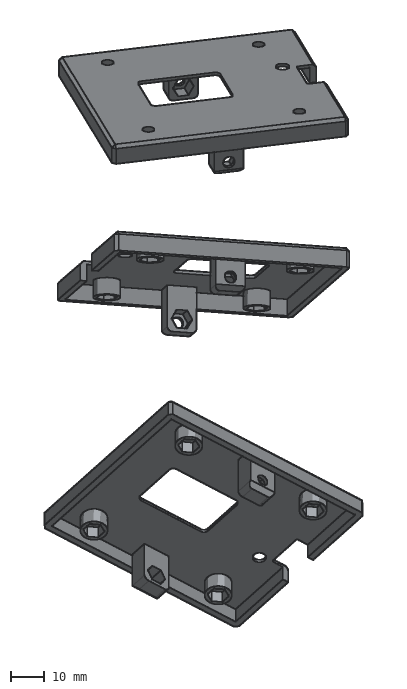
import cadquery as cq
import math

LENGTH_X = 62.0
LENGTH_Y = 72.0
COVER_HEIGHT = 6.0
TOTAL_HEIGHT = 15.0
WALL = 2.0
TOP_THICKNESS = 1.0
EDGE_CHAMFER = 1.0

NOTCH_WIDTH = 12.0
NOTCH_DEPTH = 6.0
NOTCH_RADIUS = 0.5

WINDOW_X = 17.0
WINDOW_Y = 25.0
WINDOW_CENTER_Y = -5.5
WINDOW_RADIUS = 1.5

NUT_ACROSS_FLATS = 5.5
NUT_ACROSS_CORNERS = NUT_ACROSS_FLATS / math.cos(math.pi / 6)

HOLE_DIAMETER = 3.5
HOLE_PITCH = 46.0
BOSS_DIAMETER = 8.0
BOSS_SEAT_THICKNESS = 2.0
SIDE_HOLE_DIAMETER = 4.0
SIDE_HOLE_CENTER = (-7.0, 26.0)

TAB_OUTER_X = 28.75
TAB_THICKNESS = 6.0
TAB_WIDTH = 9.0
TAB_HOLE_DEPTH = 11.0
TAB_CHAMFER = 1.5
TAB_FILLET = 1.5
TAB_SEAT_THICKNESS = 1.25


def make_shell():
    """Chamfered block hollowed out from below."""
    block = (
        cq.Workplane("XY")
        .box(LENGTH_X, LENGTH_Y, COVER_HEIGHT, centered=(True, True, False))
        .translate((0, 0, -COVER_HEIGHT))
        .edges("|Z or >Z")
        .chamfer(EDGE_CHAMFER)
    )
    cavity = (
        cq.Workplane("XY")
        .workplane(offset=-COVER_HEIGHT)
        .rect(LENGTH_X - 2 * WALL, LENGTH_Y - 2 * WALL)
        .extrude(COVER_HEIGHT - TOP_THICKNESS)
    )
    return block.cut(cavity)


def at_screws(level):
    """Workplane at the given height with the four screw positions selected."""
    return (
        cq.Workplane("XY")
        .workplane(offset=level)
        .rect(HOLE_PITCH, HOLE_PITCH, forConstruction=True)
        .vertices()
    )


def make_notch():
    """Slot through the +Y wall with rounded inner corners."""
    return (
        cq.Workplane("XY")
        .center(0, LENGTH_Y / 2)
        .rect(NOTCH_WIDTH, 2 * NOTCH_DEPTH)
        .extrude(-COVER_HEIGHT)
        .edges("|Z")
        .fillet(NOTCH_RADIUS)
    )


def make_window():
    """Rounded rectangular opening in the top plate."""
    return (
        cq.Workplane("XY")
        .center(0, WINDOW_CENTER_Y)
        .rect(WINDOW_X, WINDOW_Y)
        .extrude(-COVER_HEIGHT)
        .edges("|Z")
        .fillet(WINDOW_RADIUS)
    )


def make_tab():
    """Tab on the +X side: chamfered outer and rounded side edges below, nut pocket inside."""
    body = (
        cq.Workplane("XY")
        .workplane(offset=-TOTAL_HEIGHT)
        .center(TAB_OUTER_X - TAB_THICKNESS / 2, 0)
        .rect(TAB_THICKNESS, TAB_WIDTH)
        .extrude(TOTAL_HEIGHT - TOP_THICKNESS)
        .faces("<Z")
        .edges(">X")
        .chamfer(TAB_CHAMFER)
        .faces("<Z")
        .edges("|X")
        .fillet(TAB_FILLET)
    )
    nut_pocket = (
        cq.Workplane("YZ")
        .workplane(offset=TAB_OUTER_X - TAB_THICKNESS)
        .center(0, -TAB_HOLE_DEPTH)
        .polygon(6, NUT_ACROSS_CORNERS)
        .extrude(TAB_THICKNESS - TAB_SEAT_THICKNESS)
    )
    return body.cut(nut_pocket)


def make_tab_hole():
    """Screw hole running along X through both tabs."""
    return (
        cq.Workplane("YZ")
        .center(0, -TAB_HOLE_DEPTH)
        .circle(HOLE_DIAMETER / 2)
        .extrude(LENGTH_X / 2, both=True)
    )


def make_side_hole():
    """Plain hole through the top plate beside the notch."""
    return (
        cq.Workplane("XY")
        .center(*SIDE_HOLE_CENTER)
        .circle(SIDE_HOLE_DIAMETER / 2)
        .extrude(-COVER_HEIGHT)
    )


bosses = at_screws(0).circle(BOSS_DIAMETER / 2).extrude(-COVER_HEIGHT)
screw_holes = at_screws(0).circle(HOLE_DIAMETER / 2).extrude(-COVER_HEIGHT)
boss_nut_pockets = (
    at_screws(-BOSS_SEAT_THICKNESS)
    .polygon(6, NUT_ACROSS_CORNERS)
    .extrude(BOSS_SEAT_THICKNESS - COVER_HEIGHT)
)
tab = make_tab()

result = (
    make_shell()
    .union(bosses)
    .union(tab)
    .union(tab.mirror("YZ"))
    .cut(screw_holes)
    .cut(boss_nut_pockets)
    .cut(make_side_hole())
    .cut(make_notch())
    .cut(make_window())
    .cut(make_tab_hole())
)